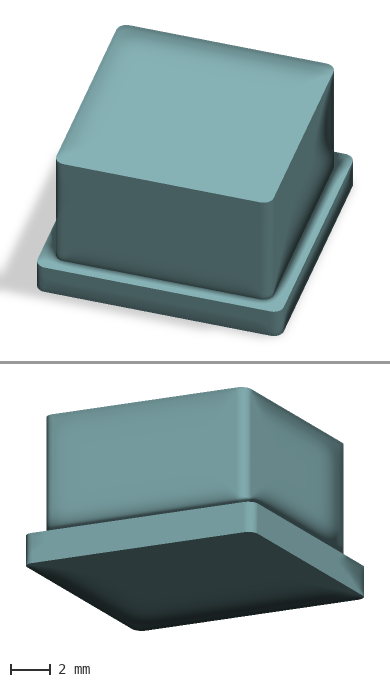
import cadquery as cq

flange_side = 12.95
flange_height = 1.59

ledge_width = 0.76
block_side = flange_side - 2 * ledge_width
total_height = 7.94
block_height = total_height - flange_height

corner_radius = 0.53


def rounded_square(side, height, base_z):
    """Square prism with rounded vertical edges, standing on base_z."""
    return (
        cq.Workplane("XY", origin=(0, 0, base_z))
        .rect(side, side)
        .extrude(height)
        .edges("|Z")
        .fillet(corner_radius)
    )


flange = rounded_square(flange_side, flange_height, 0)
block = rounded_square(block_side, block_height, flange_height)

result = flange.union(block)